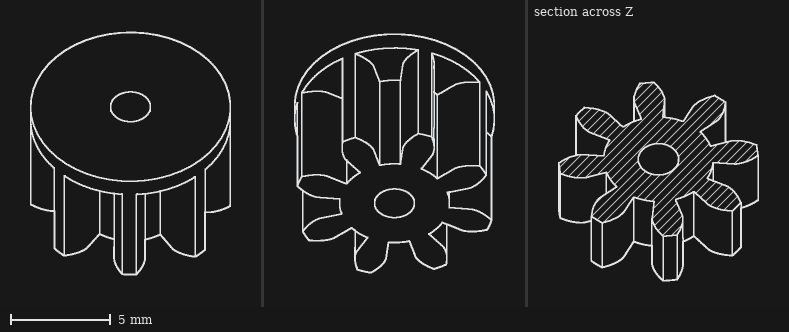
import cadquery as cq
import math

tooth_count = 8
module = 1.0
pressure_angle = math.radians(14.5)
dedendum_factor = 1.25
tooth_length = 6.0
disc_thickness = 1.0
bore_diameter = 2.0

pitch_radius = module * tooth_count / 2
tip_radius = pitch_radius + module
root_radius = pitch_radius - dedendum_factor * module
base_radius = pitch_radius * math.cos(pressure_angle)
total_height = tooth_length + disc_thickness

flank_steps = 6


def involute(angle):
    """Angle swept by an involute up to the given pressure angle, in radians."""
    return math.tan(angle) - angle


def polar(radius, angle):
    return (radius * math.cos(angle), radius * math.sin(angle))


tooth_pitch_angle = 2 * math.pi / tooth_count
gap_half_angle_at_base = tooth_pitch_angle / 4 - involute(pressure_angle)
tip_pressure_angle = math.acos(base_radius / tip_radius)


def flank_points(gap_angle, side):
    """Involute points from base circle to tip; side is -1 or +1 about the gap's middle."""
    points = []
    for step in range(flank_steps + 1):
        roll_angle = math.tan(tip_pressure_angle) * step / flank_steps
        local_pressure_angle = math.atan(roll_angle)
        radius = base_radius / math.cos(local_pressure_angle)
        half_angle = gap_half_angle_at_base + involute(local_pressure_angle)
        points.append(polar(radius, gap_angle + side * half_angle))
    return points


def tooth_gap(gap_angle):
    """Gap between two teeth: root arc, radial lower flanks and involute upper flanks."""
    near_flank = flank_points(gap_angle, -1)[::-1]
    far_flank = flank_points(gap_angle, 1)
    near_root = polar(root_radius, gap_angle - gap_half_angle_at_base)
    far_root = polar(root_radius, gap_angle + gap_half_angle_at_base)
    return (
        cq.Workplane("XY")
        .moveTo(*near_flank[0])
        .spline(near_flank[1:], includeCurrent=True)
        .lineTo(*near_root)
        .threePointArc(polar(root_radius, gap_angle), far_root)
        .lineTo(*far_flank[0])
        .spline(far_flank[1:], includeCurrent=True)
        .threePointArc(polar(tip_radius, gap_angle), near_flank[0])
        .close()
        .extrude(tooth_length)
    )


def bore():
    return cq.Workplane("XY").circle(bore_diameter / 2).extrude(total_height)


result = cq.Workplane("XY").circle(tip_radius).extrude(total_height)
for tooth in range(tooth_count):
    result = result.cut(tooth_gap((tooth + 0.5) * tooth_pitch_angle))
result = result.cut(bore())